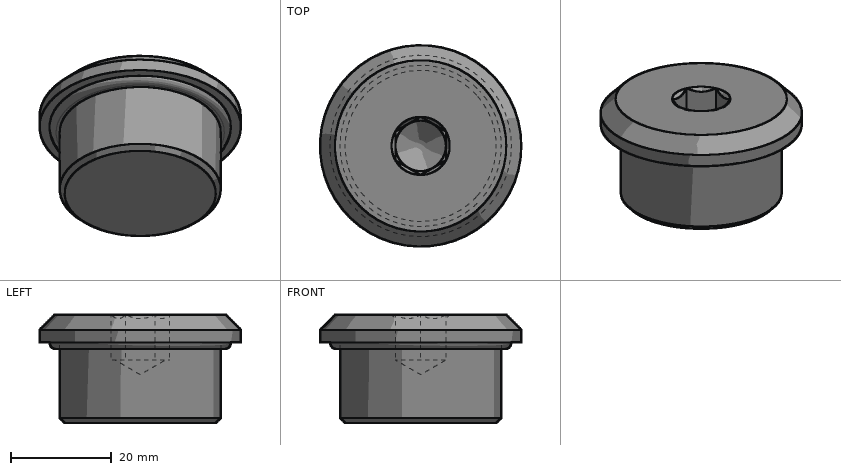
import cadquery as cq
import math

head_diameter = 40.0
head_height = 5.5
head_chamfer = 3.0
shank_diameter = 32.0
shank_length = 16.0
shank_chamfer = 1.0

ring_outer_diameter = 36.0
ring_thickness = 1.34
ring_edge_radius = 1.3

hex_across_flats = 10.0
hex_across_corners = hex_across_flats / math.cos(math.radians(30))
hex_depth = 9.0
mouth_slope = math.radians(45)
drill_point_half_angle = math.radians(60)


def make_blank():
    """Chamfered head on a chamfered shank, before any cutting."""
    head = cq.Workplane("XY").circle(head_diameter / 2).extrude(head_height)
    head = head.faces(">Z").chamfer(head_chamfer)
    shank = cq.Workplane("XY").circle(shank_diameter / 2).extrude(-shank_length)
    shank = shank.faces("<Z").chamfer(shank_chamfer)
    return head.union(shank)


def make_cone(base_radius, height, base_z):
    """Cone with its base at base_z and its tip pointing down."""
    return (
        cq.Workplane("XZ")
        .moveTo(0, base_z)
        .lineTo(base_radius, base_z)
        .lineTo(0, base_z - height)
        .close()
        .revolve(360, (0, 0, 0), (0, 1, 0))
    )


def make_socket():
    """Hexagon hole with two corners on the Y axis, its mouth and its floor."""
    corner_radius = hex_across_corners / 2
    drill_radius = hex_across_flats / 2
    hexagon = (
        cq.Workplane("XY", origin=(0, 0, head_height))
        .transformed(rotate=(0, 0, 90))
        .polygon(6, hex_across_corners)
        .extrude(-hex_depth)
    )
    mouth = make_cone(corner_radius, corner_radius * math.tan(mouth_slope), head_height)
    drill_point_height = drill_radius / math.tan(drill_point_half_angle)
    drill_point = make_cone(drill_radius, drill_point_height, head_height - hex_depth)
    return hexagon.union(mouth).union(drill_point)


def make_sealing_ring():
    """Flat ring under the head with its lower outer edge rounded."""
    ring = (
        cq.Workplane("XY")
        .circle(ring_outer_diameter / 2)
        .circle(shank_diameter / 2)
        .extrude(-ring_thickness)
    )
    return ring.faces("<Z").edges(cq.selectors.RadiusNthSelector(-1)).fillet(ring_edge_radius)


plug = make_blank().cut(make_socket())
sealing_ring = make_sealing_ring()

result = cq.Compound.makeCompound([plug.solids().val(), sealing_ring.solids().val()])